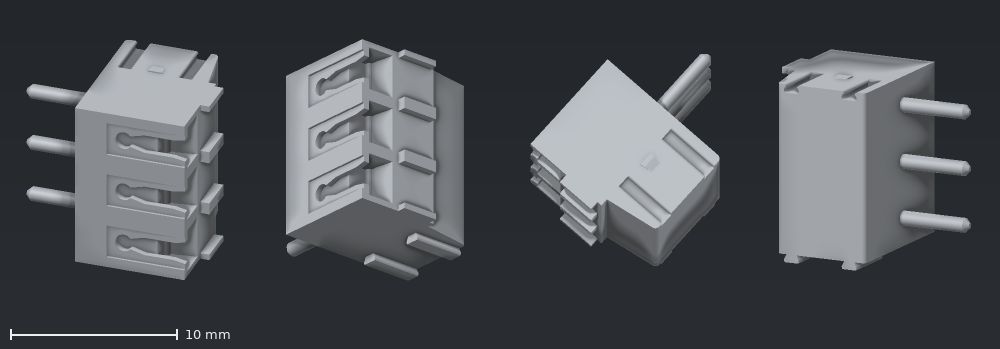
import cadquery as cq
import math

POLES = 3
PITCH = 3.5
BODY_WIDTH = 6.97
BODY_DEPTH = 9.15
BODY_HEIGHT = POLES * PITCH

SHOULDER_Y = 5.69
SHOULDER_STEP = 0.5
TAPER_ANGLE = 9.3
BACK_CORNER_RADIUS = 0.3

PIN_LENGTH = 4.5
PIN_RADIUS = 0.45
PIN_ROOT_DEPTH = 0.45
PIN_TIP_LENGTH = 0.31
PIN_TIP_RADIUS = 0.16
PIN_Y = 4.15

TAB_LENGTH = 0.58
TAB_HEIGHT = 0.75
TAB_START_Y = 2.87
TAB_DEPTH = 2.5

RAIL_CENTRES_X = (1.1, 4.985)
RAIL_HEIGHT = 0.5
RAIL_ROOT_HALF = 0.34
RAIL_WIDE_HALF = 0.49
RAIL_WIDE_DROP = 0.3
RAIL_FOOT_HALF = 0.45
GROOVE_DEPTH = 0.53
GROOVE_NECK_HALF = 0.38
GROOVE_LIP_RADIUS = 0.155
GROOVE_WIDE_HALF = 0.5
GROOVE_WIDE_DROP = 0.37
GROOVE_FLOOR_HALF = 0.42

BUMP_X = 3.05
BUMP_Y = 5.77
BUMP_HEIGHT = 0.08
BUMP_FLAT = 0.31
BUMP_DEPTH = 0.8
BUMP_FRONT_HALF = 0.49
BUMP_BACK_HALF = 0.37

WINDOW_START_X = 2.03
WINDOW_HEIGHT = 2.16
WINDOW_DEPTH = 0.16

BULB_X = 3.07
BULB_RADIUS = 0.56
BULB_END_ANGLE = 60
THROAT_MID_X = 3.42
THROAT_MID_HALF = 0.4
THROAT_X = 3.55
THROAT_HALF = 0.37
CHANNEL_X = 4.37
CHANNEL_HALF = 0.59
FLARE_X = 6.23
FLARE_HALF = 0.73

PLATE_BACK_Y = 0.54
CAVITY_HEIGHT = PITCH - TAB_HEIGHT
LEDGE_Y = 0.63
LEDGE_END_X = 5.03
NOSE_START_X = 5.07
NOSE_RADIUS = 0.27
CAVITY_FLOOR_Y = 2.2
RAMP_X = 5.69
RAMP_ANGLE = 9


def make_body():
    taper_base_x = BODY_WIDTH - SHOULDER_STEP
    taper_run = (BODY_DEPTH - SHOULDER_Y) * math.tan(math.radians(TAPER_ANGLE))
    body = (
        cq.Workplane("XY")
        .polyline([
            (0, 0),
            (BODY_WIDTH, 0),
            (BODY_WIDTH, SHOULDER_Y),
            (taper_base_x, SHOULDER_Y),
            (taper_base_x - taper_run, BODY_DEPTH),
            (0, BODY_DEPTH),
        ])
        .close()
        .extrude(BODY_HEIGHT)
    )
    return body.faces(">Y").edges("|Z").fillet(BACK_CORNER_RADIUS)


def make_pin(z):
    """Round pin along -X with a conical tip, rooted in the housing."""
    pin = (
        cq.Workplane("XY")
        .polyline([
            (PIN_ROOT_DEPTH, 0),
            (PIN_ROOT_DEPTH, PIN_RADIUS),
            (PIN_TIP_LENGTH - PIN_LENGTH, PIN_RADIUS),
            (-PIN_LENGTH, PIN_TIP_RADIUS),
            (-PIN_LENGTH, 0),
        ])
        .close()
        .revolve(360, (0, 0, 0), (1, 0, 0))
    )
    return pin.translate((0, PIN_Y, z))


def make_tab(z_low, z_high):
    return cq.Workplane("XY").box(
        TAB_LENGTH, TAB_DEPTH, z_high - z_low, centered=False
    ).translate((BODY_WIDTH, TAB_START_Y, z_low))


def back_section(centre_x, z):
    """Vertical sketch plane at the shoulder, with local x and y along +X and +Z."""
    plane = cq.Plane(origin=(centre_x, SHOULDER_Y, z), xDir=(1, 0, 0), normal=(0, -1, 0))
    return cq.Workplane(plane)


def make_rail(centre_x):
    """Dovetail rail below the housing with a rounded foot."""
    bulge_drop = (RAIL_WIDE_DROP + RAIL_HEIGHT) / 2
    return (
        back_section(centre_x, 0)
        .moveTo(-RAIL_ROOT_HALF, 0)
        .lineTo(-RAIL_WIDE_HALF, -RAIL_WIDE_DROP)
        .threePointArc((-RAIL_WIDE_HALF, -bulge_drop), (-RAIL_FOOT_HALF, -RAIL_HEIGHT))
        .lineTo(RAIL_FOOT_HALF, -RAIL_HEIGHT)
        .threePointArc((RAIL_WIDE_HALF, -bulge_drop), (RAIL_WIDE_HALF, -RAIL_WIDE_DROP))
        .lineTo(RAIL_ROOT_HALF, 0)
        .close()
        .extrude(SHOULDER_Y - BODY_DEPTH)
    )


def make_groove(centre_x):
    """Cutter for an undercut groove with rounded lips at its mouth."""
    mouth_half = GROOVE_NECK_HALF + GROOVE_LIP_RADIUS
    lip_mid_half = mouth_half - GROOVE_LIP_RADIUS * math.sin(math.radians(45))
    lip_mid_drop = GROOVE_LIP_RADIUS * (1 - math.cos(math.radians(45)))
    return (
        back_section(centre_x, BODY_HEIGHT)
        .moveTo(-mouth_half, 0)
        .threePointArc((-lip_mid_half, -lip_mid_drop), (-GROOVE_NECK_HALF, -GROOVE_LIP_RADIUS))
        .threePointArc((-GROOVE_WIDE_HALF, -GROOVE_WIDE_DROP), (-GROOVE_FLOOR_HALF, -GROOVE_DEPTH))
        .lineTo(GROOVE_FLOOR_HALF, -GROOVE_DEPTH)
        .threePointArc((GROOVE_WIDE_HALF, -GROOVE_WIDE_DROP), (GROOVE_NECK_HALF, -GROOVE_LIP_RADIUS))
        .threePointArc((lip_mid_half, -lip_mid_drop), (mouth_half, 0))
        .close()
        .extrude(SHOULDER_Y - BODY_DEPTH)
    )


def make_bump():
    """Trapezoid in plan, cut to a flat and a ramp in side profile."""
    plan = (
        cq.Workplane("XY", origin=(BUMP_X, BUMP_Y, BODY_HEIGHT))
        .polyline([
            (-BUMP_FRONT_HALF, 0),
            (BUMP_FRONT_HALF, 0),
            (BUMP_BACK_HALF, BUMP_DEPTH),
            (-BUMP_BACK_HALF, BUMP_DEPTH),
        ])
        .close()
        .extrude(BUMP_HEIGHT)
    )
    profile = (
        cq.Workplane("YZ", origin=(BUMP_X, BUMP_Y, BODY_HEIGHT))
        .polyline([(0, 0), (BUMP_DEPTH, 0), (BUMP_FLAT, BUMP_HEIGHT), (0, BUMP_HEIGHT)])
        .close()
        .extrude(BUMP_FRONT_HALF, both=True)
    )
    return plan.intersect(profile)


def make_window(z):
    return cq.Workplane("XY").box(
        BODY_WIDTH - WINDOW_START_X, WINDOW_DEPTH, WINDOW_HEIGHT, centered=(False, False, True)
    ).translate((WINDOW_START_X, 0, z))


def make_keyhole(z):
    """Cutter: keyhole outline through the front plate, mirrored about the pole's mid-height."""
    bulb_end_x = BULB_X + BULB_RADIUS * math.cos(math.radians(BULB_END_ANGLE))
    bulb_end_half = BULB_RADIUS * math.sin(math.radians(BULB_END_ANGLE))
    return (
        cq.Workplane("XZ", origin=(0, 0, z))
        .moveTo(BODY_WIDTH, -FLARE_HALF)
        .lineTo(BODY_WIDTH, FLARE_HALF)
        .lineTo(FLARE_X, CHANNEL_HALF)
        .lineTo(CHANNEL_X, CHANNEL_HALF)
        .lineTo(THROAT_X, THROAT_HALF)
        .threePointArc((THROAT_MID_X, THROAT_MID_HALF), (bulb_end_x, bulb_end_half))
        .threePointArc((BULB_X - BULB_RADIUS, 0), (bulb_end_x, -bulb_end_half))
        .threePointArc((THROAT_MID_X, -THROAT_MID_HALF), (THROAT_X, -THROAT_HALF))
        .lineTo(CHANNEL_X, -CHANNEL_HALF)
        .lineTo(FLARE_X, -CHANNEL_HALF)
        .close()
        .extrude(-PLATE_BACK_Y)
    )


def make_cavity(z):
    """Cutter: a shallow ledge, a rounded contact nose, then a deep floor ramping away to +X."""
    nose_reach = NOSE_RADIUS * math.sin(math.radians(45))
    nose_start_y = CAVITY_FLOOR_Y - NOSE_RADIUS
    nose_end_x = NOSE_START_X + NOSE_RADIUS
    nose_mid = (NOSE_START_X + nose_reach, CAVITY_FLOOR_Y - nose_reach)
    ramp_end_y = CAVITY_FLOOR_Y + (BODY_WIDTH - RAMP_X) * math.tan(math.radians(RAMP_ANGLE))
    return (
        cq.Workplane("XY", origin=(0, 0, z))
        .moveTo(WINDOW_START_X, PLATE_BACK_Y)
        .lineTo(WINDOW_START_X, LEDGE_Y)
        .lineTo(LEDGE_END_X, LEDGE_Y)
        .lineTo(LEDGE_END_X, nose_start_y)
        .lineTo(NOSE_START_X, nose_start_y)
        .threePointArc(nose_mid, (nose_end_x, CAVITY_FLOOR_Y))
        .lineTo(RAMP_X, CAVITY_FLOOR_Y)
        .lineTo(BODY_WIDTH, ramp_end_y)
        .lineTo(BODY_WIDTH, PLATE_BACK_Y)
        .close()
        .extrude(CAVITY_HEIGHT / 2, both=True)
    )


result = make_body()

for rail_x in RAIL_CENTRES_X:
    result = result.union(make_rail(rail_x)).cut(make_groove(rail_x))

result = result.union(make_bump())

for pole in range(POLES):
    pole_z = (pole + 0.5) * PITCH
    result = result.cut(make_window(pole_z)).cut(make_keyhole(pole_z)).cut(make_cavity(pole_z))
    result = result.union(make_pin(pole_z))

for boundary in range(POLES + 1):
    boundary_z = boundary * PITCH
    tab_low = max(boundary_z - TAB_HEIGHT / 2, 0)
    tab_high = min(boundary_z + TAB_HEIGHT / 2, BODY_HEIGHT)
    result = result.union(make_tab(tab_low, tab_high))